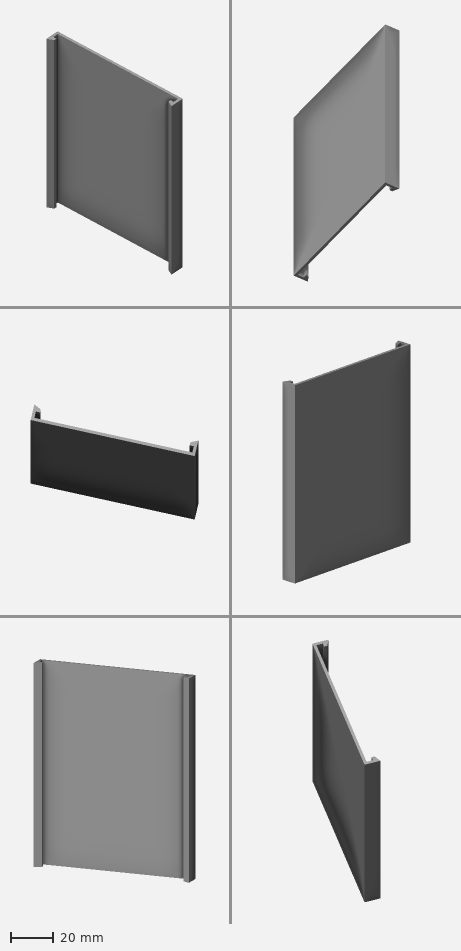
import cadquery as cq

width = 80.0
depth = 8.0
height = 100.0

wall = 1.5
hook_reach = 3.5
hook_shelf = 4.7

nose_rise = hook_reach / 2

half_width = width / 2
back = depth / 2
front = -depth / 2
inner_side = half_width - wall
nose_side = half_width - hook_reach

half_profile = [
    (0, back - wall),
    (inner_side, back - wall),
    (inner_side, back - hook_shelf),
    (nose_side, back - hook_shelf),
    (nose_side, front + nose_rise),
    (half_width, front),
    (half_width, back),
    (0, back),
]

right_half = (
    cq.Workplane("XY")
    .workplane(offset=-height / 2)
    .polyline(half_profile)
    .close()
    .extrude(height)
)
result = right_half.union(right_half.mirror("YZ")).clean()